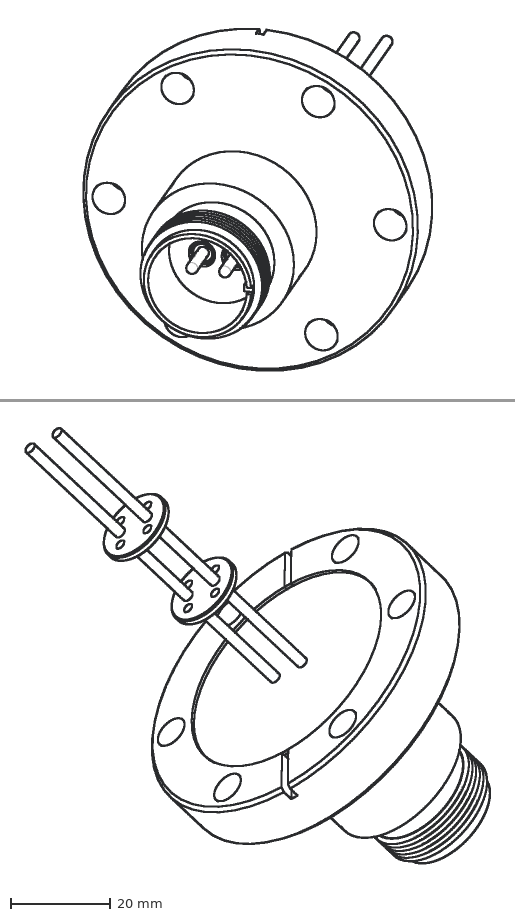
import cadquery as cq
import math


FLANGE_DIAMETER = 69.85
FLANGE_THICKNESS = 12.7
FLANGE_CHAMFER = 0.8
CLOCKING_ANGLE = 0.75
BOLT_COUNT = 6
BOLT_CIRCLE_DIAMETER = 58.72
BOLT_HOLE_DIAMETER = 6.8
GASKET_RECESS_DIAMETER = 48.3
GASKET_RECESS_DEPTH = 0.75
LEAK_SLOT_WIDTH = 1.6
LEAK_SLOT_LENGTH = 3.2
LEAK_SLOT_DEPTH = FLANGE_DIAMETER / 2 - GASKET_RECESS_DIAMETER / 2

FLANGE_FRONT_Y = -FLANGE_THICKNESS
NECK_RADIUS = 9.4
NECK_LENGTH = 0.9
FLARE_RADIUS = 9.9
FLARE_LENGTH = 0.85
CONE_END_RADIUS = 15.0
CONE_LENGTH = CONE_END_RADIUS - FLARE_RADIUS
SHELL_RADIUS = 15.875
SHELL_LENGTH = 17.3
BARREL_RADIUS = 11.8
BARREL_LENGTH = 6.1
RIM_RADIUS = 11.2
RIM_LENGTH = 2.3
SOCKET_RADIUS = 10.3
SOCKET_DEPTH = 16.0

THREAD_CREST_RADIUS = 12.7
THREAD_PITCH = 1.2
THREAD_RIDGES = 6
THREAD_DEPTH = THREAD_PITCH / 2 / math.tan(math.radians(30))

SHELL_REAR_Y = FLANGE_FRONT_Y - NECK_LENGTH - FLARE_LENGTH - CONE_LENGTH
SHELL_FRONT_Y = SHELL_REAR_Y - SHELL_LENGTH
THREAD_REAR_Y = SHELL_FRONT_Y - BARREL_LENGTH
THREAD_FRONT_Y = THREAD_REAR_Y - THREAD_RIDGES * THREAD_PITCH
RIM_Y = THREAD_FRONT_Y - RIM_LENGTH
SOCKET_FLOOR_Y = RIM_Y + SOCKET_DEPTH

KEY_WIDTH = 1.4
KEY_INNER_RADIUS = 9.4
KEY_LENGTH = 1.4
RIM_SLOT_DEPTH = 1.3

OVERALL_LENGTH = 132.19
CONDUCTOR_RADIUS = 1.18
CONDUCTOR_PITCH = 6.88
CONDUCTOR_END_Y = OVERALL_LENGTH + RIM_Y
CONDUCTOR_XS = (-CONDUCTOR_PITCH / 2, CONDUCTOR_PITCH / 2)
PIN_TIP_SETBACK = 7.3
PIN_TIP_Y = RIM_Y + PIN_TIP_SETBACK
PIN_WELL_OUTER_RADIUS = 2.75
PIN_WELL_STEP_RADIUS = 2.35
PIN_WELL_FLOOR_RADIUS = 2.05
PIN_WELL_STEP_DEPTH = PIN_WELL_OUTER_RADIUS - PIN_WELL_STEP_RADIUS
PIN_WELL_DEPTH = 1.0

SPACER_DIAMETER = 15.75
SPACER_THICKNESS = 1.6
SPACER_CENTRE_YS = (27.05, 49.3)
SPACER_EDGE_CHAMFER = 0.25
SPACER_HOLE_DIAMETER = 2.0
SPACER_HOLE_Z = 3.44


def cylinder(radius, start_y, end_y, x=0.0, z=0.0):
    """Cylinder along Y between two stations."""
    length = end_y - start_y
    start = cq.Vector(x, start_y, z)
    return cq.Workplane(cq.Solid.makeCylinder(radius, length, start, cq.Vector(0, 1, 0)))


def block(x_range, y_range, z_range):
    """Axis-aligned block given its limits on each axis."""
    size = [high - low for low, high in (x_range, y_range, z_range)]
    corner = cq.Vector(x_range[0], y_range[0], z_range[0])
    return cq.Workplane(cq.Solid.makeBox(*size, corner))


def revolve_about_y(profile):
    """Full turn of a closed XY profile about the Y axis."""
    return profile.close().revolve(360, (0, 0, 0), (0, 1, 0))


def make_flange():
    flange = cylinder(FLANGE_DIAMETER / 2, FLANGE_FRONT_Y, 0).edges().chamfer(FLANGE_CHAMFER)
    flange = flange.cut(cylinder(GASKET_RECESS_DIAMETER / 2, -GASKET_RECESS_DEPTH, 0))
    for index in range(BOLT_COUNT):
        angle = math.radians(CLOCKING_ANGLE + index * 360 / BOLT_COUNT)
        x = BOLT_CIRCLE_DIAMETER / 2 * math.cos(angle)
        z = BOLT_CIRCLE_DIAMETER / 2 * math.sin(angle)
        flange = flange.cut(cylinder(BOLT_HOLE_DIAMETER / 2, FLANGE_FRONT_Y, 0, x, z))
    slot = block(
        (-LEAK_SLOT_WIDTH / 2, LEAK_SLOT_WIDTH / 2),
        (-LEAK_SLOT_LENGTH, 0),
        (FLANGE_DIAMETER / 2 - LEAK_SLOT_DEPTH, FLANGE_DIAMETER / 2),
    )
    for half_turn in (0, 180):
        flange = flange.cut(slot.rotate((0, 0, 0), (0, 1, 0), half_turn - CLOCKING_ANGLE))
    return flange


def make_connector_body():
    flare_y = FLANGE_FRONT_Y - NECK_LENGTH
    cone_y = flare_y - FLARE_LENGTH
    profile = (
        cq.Workplane("XY")
        .moveTo(0, FLANGE_FRONT_Y)
        .lineTo(NECK_RADIUS, FLANGE_FRONT_Y)
        .lineTo(NECK_RADIUS, flare_y)
        .lineTo(FLARE_RADIUS, cone_y)
        .lineTo(CONE_END_RADIUS, SHELL_REAR_Y)
        .lineTo(SHELL_RADIUS, SHELL_REAR_Y)
        .lineTo(SHELL_RADIUS, SHELL_FRONT_Y)
        .lineTo(BARREL_RADIUS, SHELL_FRONT_Y)
        .lineTo(BARREL_RADIUS, THREAD_REAR_Y)
    )
    root_radius = THREAD_CREST_RADIUS - THREAD_DEPTH
    for ridge in range(THREAD_RIDGES):
        ridge_y = THREAD_REAR_Y - ridge * THREAD_PITCH
        profile = (
            profile.lineTo(root_radius, ridge_y)
            .lineTo(THREAD_CREST_RADIUS, ridge_y - THREAD_PITCH / 2)
        )
    profile = (
        profile.lineTo(RIM_RADIUS, THREAD_FRONT_Y)
        .lineTo(RIM_RADIUS, RIM_Y)
        .lineTo(SOCKET_RADIUS, RIM_Y)
        .lineTo(SOCKET_RADIUS, SOCKET_FLOOR_Y)
        .lineTo(0, SOCKET_FLOOR_Y)
    )
    return revolve_about_y(profile)


def add_polarising_key(body):
    z_range = (-KEY_WIDTH / 2, KEY_WIDTH / 2)
    slot_end_y = RIM_Y + RIM_SLOT_DEPTH
    wall_middle = (SOCKET_RADIUS + RIM_RADIUS) / 2
    rim_slot = block((KEY_INNER_RADIUS, RIM_RADIUS), (RIM_Y, slot_end_y), z_range)
    key = block((KEY_INNER_RADIUS, wall_middle), (slot_end_y, slot_end_y + KEY_LENGTH), z_range)
    return body.cut(rim_slot).union(key)


def make_pin_well(x):
    """Countersunk, stepped well around one pin in the socket floor."""
    step_y = SOCKET_FLOOR_Y + PIN_WELL_STEP_DEPTH
    floor_y = SOCKET_FLOOR_Y + PIN_WELL_DEPTH
    profile = (
        cq.Workplane("XY")
        .moveTo(0, SOCKET_FLOOR_Y)
        .lineTo(PIN_WELL_OUTER_RADIUS, SOCKET_FLOOR_Y)
        .lineTo(PIN_WELL_STEP_RADIUS, step_y)
        .lineTo(PIN_WELL_FLOOR_RADIUS, step_y)
        .lineTo(PIN_WELL_FLOOR_RADIUS, floor_y)
        .lineTo(0, floor_y)
    )
    return revolve_about_y(profile).translate((x, 0, 0))


def make_conductor(x):
    """Straight conductor ending in a hemispherical pin tip inside the socket."""
    tip_centre_y = PIN_TIP_Y + CONDUCTOR_RADIUS
    arc_middle = CONDUCTOR_RADIUS * math.sqrt(0.5)
    profile = (
        cq.Workplane("XY")
        .moveTo(0, PIN_TIP_Y)
        .threePointArc((arc_middle, tip_centre_y - arc_middle), (CONDUCTOR_RADIUS, tip_centre_y))
        .lineTo(CONDUCTOR_RADIUS, CONDUCTOR_END_Y)
        .lineTo(0, CONDUCTOR_END_Y)
    )
    return revolve_about_y(profile).translate((x, 0, 0))


def make_spacer(centre_y):
    """Disc with a spare hole above and below each conductor."""
    front_y = centre_y - SPACER_THICKNESS / 2
    rear_y = centre_y + SPACER_THICKNESS / 2
    spacer = cylinder(SPACER_DIAMETER / 2, front_y, rear_y)
    spacer = spacer.edges().chamfer(SPACER_EDGE_CHAMFER)
    for x in CONDUCTOR_XS:
        for z in (-SPACER_HOLE_Z, SPACER_HOLE_Z):
            spacer = spacer.cut(cylinder(SPACER_HOLE_DIAMETER / 2, front_y, rear_y, x, z))
    return spacer


part = make_flange().union(add_polarising_key(make_connector_body()))
for conductor_x in CONDUCTOR_XS:
    part = part.cut(make_pin_well(conductor_x))
for spacer_y in SPACER_CENTRE_YS:
    part = part.union(make_spacer(spacer_y))
for conductor_x in CONDUCTOR_XS:
    part = part.union(make_conductor(conductor_x))

result = part